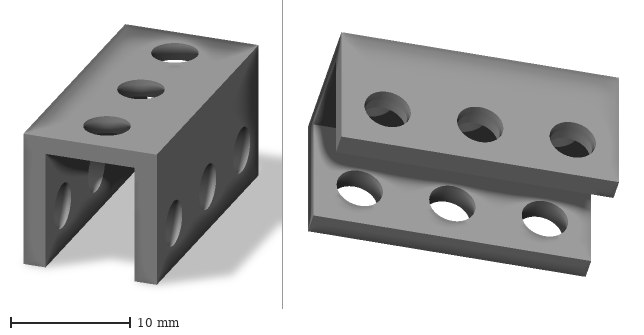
import cadquery as cq

length = 24.0
width = length / 2
height = width
hole_count = 3
hole_pitch = length / hole_count
hole_diameter = hole_pitch / 2
wall_thickness = width / 6
web_thickness = 1.54

side_hole_height = hole_diameter

hole_positions = [
    (index - (hole_count - 1) / 2) * hole_pitch for index in range(hole_count)
]


def make_channel():
    """U-channel along Y, open downward, with its base at Z = 0."""
    block = cq.Workplane("XY").box(width, length, height, centered=(True, True, False))
    opening = cq.Workplane("XY").box(
        width - 2 * wall_thickness,
        length,
        height - web_thickness,
        centered=(True, True, False),
    )
    return block.cut(opening)


def make_web_holes():
    """Row of vertical cylinders through the top web."""
    return (
        cq.Workplane("XY")
        .pushPoints([(0, y) for y in hole_positions])
        .circle(hole_diameter / 2)
        .extrude(height)
    )


def make_wall_holes():
    """Row of cylinders along X through both side walls."""
    return (
        cq.Workplane("YZ")
        .pushPoints([(y, side_hole_height) for y in hole_positions])
        .circle(hole_diameter / 2)
        .extrude(width / 2, both=True)
    )


result = make_channel().cut(make_web_holes()).cut(make_wall_holes())